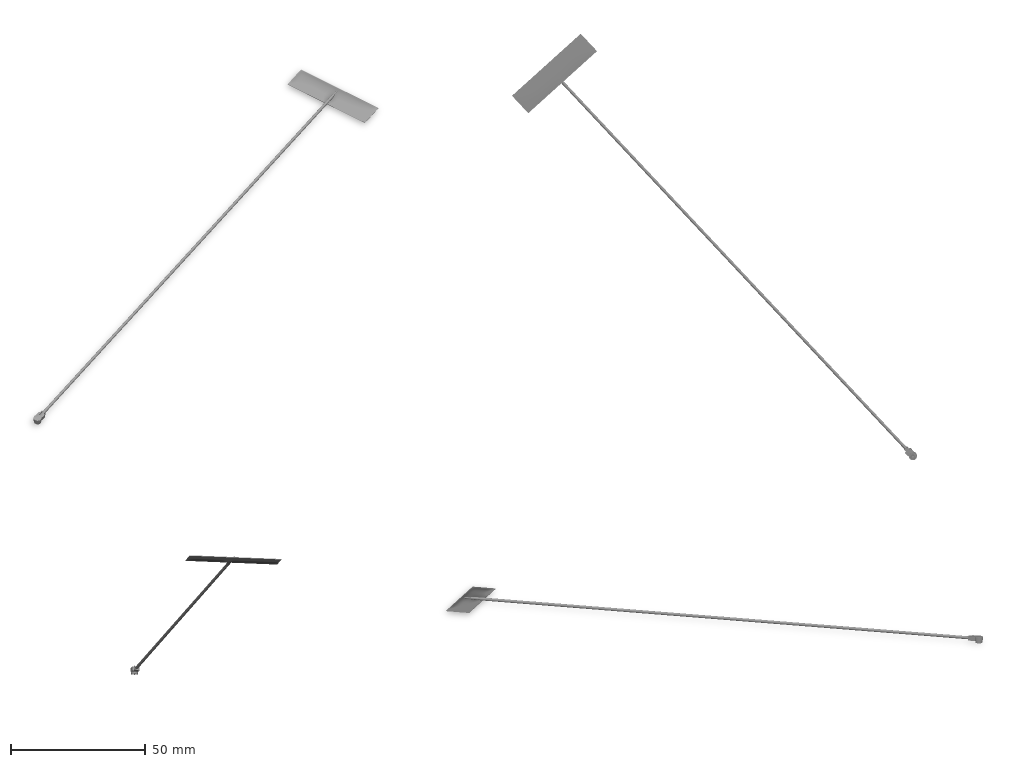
import cadquery as cq

total_length = 203.6

plate_width = 34.8
plate_length = 9.0
plate_thickness = 0.2
plate_back = total_length / 2
plate_front = plate_back - plate_length

jacket_diameter = 1.12
braid_diameter = 0.94
conductor_diameter = 0.49
joint_overlap = 0.05
cable_x = 0.16
cable_z = plate_thickness + jacket_diameter / 2 - joint_overlap
seam_direction = (1, 0, 1)

conductor_end = plate_back - 2.0
braid_end = plate_back - 4.5
collar_back = plate_back - 5.7
collar_front = plate_back - 7.3
jacket_end = plate_back - 8.1

plug_height = 2.2
cap_diameter = 3.0
cap_height = 1.2
ring_diameter = 2.6
ring_height = plug_height - cap_height
ring_wall = 0.3
contact_diameter = 0.77
plug_y = -total_length / 2 + cap_diameter / 2

tail_width = 1.5
crimp_height = tail_width
wing_width = 2.6
wing_back = plug_y + 2.9
tail_back = plug_y + 4.0
crimp_opening = 0.94
crimp_front = plug_y + ring_diameter / 2 - ring_wall / 2
plug_top = cable_z + crimp_height / 2


def cable_section(diameter, y_front, y_back):
    """Round stretch on the cable axis between two places along Y."""
    end_plane = cq.Plane(origin=(cable_x, y_front, cable_z), xDir=seam_direction, normal=(0, 1, 0))
    return cq.Workplane(end_plane).circle(diameter / 2).extrude(y_back - y_front)


def crimp_block(width, y_back, z_bottom):
    """Block from inside the cap back along the cable, level with the top of the plug."""
    block = cq.Workplane("XY", origin=(cable_x, crimp_front, z_bottom))
    return block.box(width, y_back - crimp_front, plug_top - z_bottom, centered=(True, False, False))


def make_plate():
    plate = cq.Workplane("XY", origin=(0, plate_front, 0))
    return plate.box(plate_width, plate_length, plate_thickness, centered=(True, False, False))


def make_cable():
    jacket = cable_section(jacket_diameter, crimp_front, jacket_end)
    braid = cable_section(braid_diameter, jacket_end, braid_end)
    collar = cable_section(jacket_diameter, collar_front, collar_back)
    conductor = cable_section(conductor_diameter, braid_end, conductor_end)
    return jacket.union(braid).union(collar).union(conductor)


def make_crimp():
    crimp_bottom = plug_top - crimp_height
    wings = crimp_block(wing_width, wing_back, crimp_bottom)
    tail = crimp_block(tail_width, tail_back, crimp_bottom)
    opening = crimp_block(crimp_opening, tail_back, cable_z)
    return wings.union(tail).cut(opening)


def make_plug():
    cap_base = cq.Workplane("XY", origin=(cable_x, plug_y, plug_top - cap_height))
    cap = cap_base.circle(cap_diameter / 2).extrude(cap_height)

    ring = cap_base.circle(ring_diameter / 2).circle(ring_diameter / 2 - ring_wall).extrude(-ring_height)
    contact = cap_base.circle(contact_diameter / 2).extrude(-ring_height)
    return cap.union(ring).union(contact)


result = make_plate().union(make_cable()).union(make_crimp()).union(make_plug())